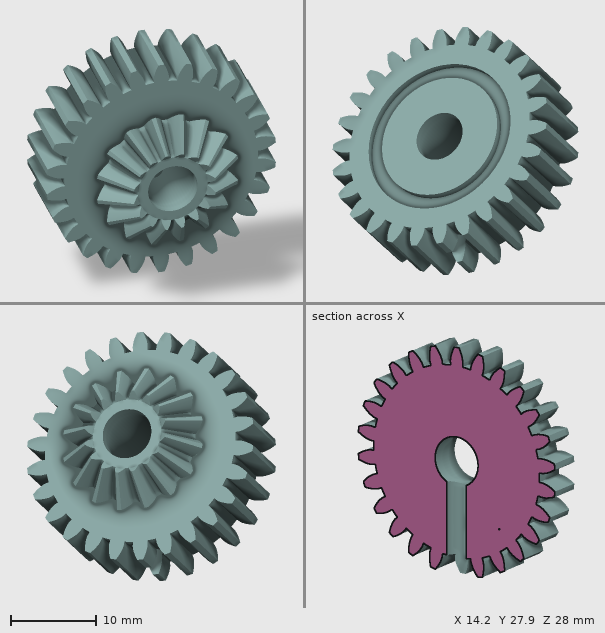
import cadquery as cq
import math

module = 1.0
addendum = module
flank_points = 7

spur_teeth = 26
spur_width = 8.5
spur_pressure_angle = math.radians(20)
spur_dedendum = 1.25 * module
bore_radius = 3.0
groove_inner_radius = 7.5
groove_outer_radius = 9.25
groove_depth = 1.0

screw_hole_diameter = 2.7
screw_hole_x = 4.0

hub_radius = 6.0
hub_length = 0.95

bevel_teeth = 16
pitch_cone_angle = math.radians(45)
bevel_pressure_angle = math.radians(25)
bevel_dedendum = 1.05 * module
bevel_root_gap = 0.66
bevel_flare_height = 0.25
bevel_back_rim = 0.27
total_length = 14.24

tooth_overlap = 0.2
bevel_end_excess = 0.05

spur_pitch_radius = module * spur_teeth / 2
spur_root_radius = spur_pitch_radius - spur_dedendum
spur_tip_radius = spur_pitch_radius + addendum

cone_sin = math.sin(pitch_cone_angle)
cone_cos = math.cos(pitch_cone_angle)
bevel_pitch_radius = module * bevel_teeth / 2
bevel_root_radius = bevel_pitch_radius - bevel_dedendum * cone_cos
bevel_tip_radius = bevel_pitch_radius + addendum * cone_cos
bevel_back_x = spur_width + hub_length
bevel_back_radius = bevel_root_radius - bevel_back_rim / math.tan(pitch_cone_angle)
bevel_root_x = bevel_back_x + bevel_back_rim
bevel_pitch_x = bevel_root_x + bevel_dedendum * cone_sin
bevel_tip_x = bevel_pitch_x + addendum * cone_sin
apex_x = bevel_pitch_x + bevel_pitch_radius / math.tan(pitch_cone_angle)
small_end_scale = (apex_x - total_length) / (apex_x - bevel_tip_x)


def involute(angle):
    return math.tan(angle) - angle


def tooth_flank(pitch_radius, tip_radius, pressure_angle, start_radius=0.0):
    """(radius, half angle) pairs up one involute flank to the tip.

    The flank begins at start_radius, or at the base circle if that is larger.
    """
    base_radius = pitch_radius * math.cos(pressure_angle)
    start_radius = max(start_radius, base_radius)
    pitch_half_angle = math.pi * module / 4 / pitch_radius
    base_half_angle = pitch_half_angle + involute(pressure_angle)
    flank = []
    for i in range(flank_points):
        radius = start_radius + (tip_radius - start_radius) * i / (flank_points - 1)
        flank_angle = math.acos(min(1.0, base_radius / radius))
        flank.append((radius, base_half_angle - involute(flank_angle)))
    return flank


def tooth_outline(plane, foot, flank, axis_offset=0.0, scale=1.0):
    """Closed tooth pointing along local +Y: straight-sided foot, then curved flanks.

    Foot and flank are (radius, half angle) pairs, listed outwards. The gear
    centre lies axis_offset below the plane origin, and the whole outline is
    scaled about that origin.
    """
    def place(radius, angle):
        across = radius * math.sin(angle)
        outward = radius * math.cos(angle) - axis_offset
        return (scale * across, scale * outward)

    tip_radius = flank[-1][0]
    left_foot = [place(radius, -angle) for radius, angle in foot]
    left_flank = [place(radius, -angle) for radius, angle in flank]
    right_flank = [place(radius, angle) for radius, angle in reversed(flank)]
    right_foot = [place(radius, angle) for radius, angle in reversed(foot)]
    return (
        cq.Workplane(plane)
        .polyline(left_foot + left_flank[:1])
        .spline(left_flank[1:], includeCurrent=True)
        .threePointArc(place(tip_radius, 0), right_flank[0])
        .spline(right_flank[1:], includeCurrent=True)
        .polyline(right_foot, includeCurrent=True)
        .close()
    )


def cylinder(start_x, length, radius):
    return cq.Workplane("YZ", origin=(start_x, 0, 0)).circle(radius).extrude(length)


def around_axis(tooth, count, first_angle):
    """Copies of a tooth spaced evenly round the X axis."""
    shape = tooth.val()
    copies = []
    for i in range(count):
        angle = first_angle + 360 * i / count
        copies.append(shape.rotate(cq.Vector(0, 0, 0), cq.Vector(1, 0, 0), angle))
    return copies


def join(body, shapes):
    return cq.Workplane(body.val().fuse(*shapes))


def spur_gear():
    blank = cylinder(0, spur_width, spur_root_radius)
    flank = tooth_flank(spur_pitch_radius, spur_tip_radius, spur_pressure_angle)
    base_half_angle = flank[0][1]
    foot = [(spur_root_radius - tooth_overlap, base_half_angle)]
    tooth = tooth_outline("YZ", foot, flank).extrude(spur_width)
    return join(blank, around_axis(tooth, spur_teeth, 0))


def revolved(points):
    """Solid of revolution about X from (x, radius) points, closed along the axis."""
    first_x = points[0][0]
    last_x = points[-1][0]
    return (
        cq.Workplane("XY")
        .polyline([(first_x, 0)] + points + [(last_x, 0)])
        .close()
        .revolve(360, (0, 0, 0), (1, 0, 0))
    )


def toward_apex(scale, x, radius):
    """Large-end point of the bevel moved along its line to the cone apex."""
    return (apex_x - scale * (apex_x - x), scale * radius)


def bevel_tooth(end_scales):
    """Untrimmed tooth at the top (+Z), tapering towards the cone apex."""
    virtual_radius = bevel_pitch_radius / cone_cos
    virtual_root_radius = virtual_radius - bevel_dedendum
    flank = tooth_flank(
        virtual_radius,
        virtual_radius + addendum + tooth_overlap,
        bevel_pressure_angle,
        virtual_root_radius + bevel_flare_height,
    )
    half_pitch_angle = math.pi * module / 2 / virtual_radius
    foot_half_angle = half_pitch_angle - bevel_root_gap / 2 / virtual_root_radius
    foot = [
        (virtual_root_radius - tooth_overlap, foot_half_angle),
        (virtual_root_radius, foot_half_angle),
    ]
    wires = []
    for scale in end_scales:
        x, height = toward_apex(scale, bevel_pitch_x, bevel_pitch_radius)
        plane = cq.Plane(
            origin=(x, 0, height),
            xDir=(0, 1, 0),
            normal=(cone_cos, 0, -cone_sin),
        )
        outline = tooth_outline(plane, foot, flank, virtual_radius, scale)
        wires.append(outline.wires().val())
    return cq.Workplane(cq.Solid.makeLoft(wires, True))


def bevel_gear():
    """Overlong root cone and teeth, trimmed to the tip cone and conical ends."""
    back_point = (bevel_back_x, bevel_back_radius)
    root_point = (bevel_root_x, bevel_root_radius)
    tip_point = (bevel_tip_x, bevel_tip_radius)
    end_scales = (1 + bevel_end_excess, small_end_scale - bevel_end_excess)
    root_cone = revolved([toward_apex(scale, *root_point) for scale in end_scales])
    envelope = revolved([
        back_point,
        tip_point,
        toward_apex(small_end_scale, *tip_point),
        toward_apex(small_end_scale, *root_point),
    ])
    first_angle = 180 / bevel_teeth
    teeth = around_axis(bevel_tooth(end_scales), bevel_teeth, first_angle)
    return join(root_cone, teeth).intersect(envelope)


def face_groove():
    outer = cylinder(0, groove_depth, groove_outer_radius)
    return outer.cut(cylinder(0, groove_depth, groove_inner_radius))


def screw_hole():
    return (
        cq.Workplane("XY", origin=(screw_hole_x, 0, 0))
        .circle(screw_hole_diameter / 2)
        .extrude(-(spur_tip_radius + addendum))
    )


hub = cylinder(spur_width, hub_length, hub_radius)
bore = cylinder(0, total_length, bore_radius)

result = (
    spur_gear()
    .union(hub)
    .union(bevel_gear())
    .cut(bore)
    .cut(face_groove())
    .cut(screw_hole())
)